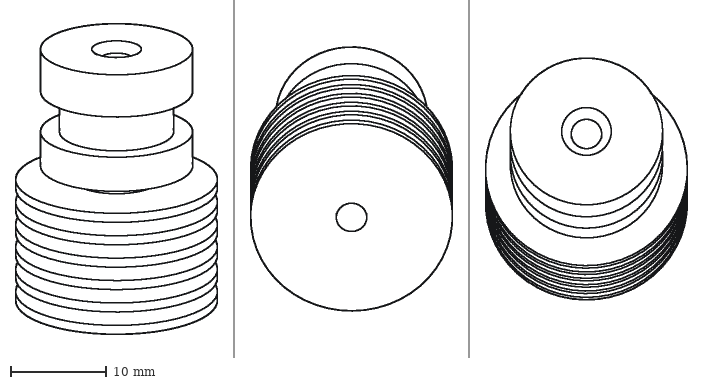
import cadquery as cq

total_height = 28.0
fin_count = 6
fin_diameter = 21.2
fin_thickness = 1.0
fin_stack_height = 13.5
fin_pitch = (fin_stack_height - fin_thickness) / (fin_count - 1)

stem_diameter = 9.0
collar_diameter = 16.0
neck_diameter = 12.0
stem_above_fins = 1.5
lower_collar_height = 3.8
upper_collar_height = 4.7
lower_collar_bottom = fin_stack_height + stem_above_fins
lower_collar_top = lower_collar_bottom + lower_collar_height
upper_collar_bottom = total_height - upper_collar_height

bore_diameter = 3.2
countersink_depth = 1.0
countersink_angle = 90


def disc(diameter, bottom, top):
    """Cylinder on the Z axis between two heights."""
    return cq.Workplane("XY").workplane(offset=bottom).circle(diameter / 2).extrude(top - bottom)


body = disc(stem_diameter, 0, lower_collar_bottom)
body = body.union(disc(collar_diameter, lower_collar_bottom, lower_collar_top))
body = body.union(disc(neck_diameter, lower_collar_top, upper_collar_bottom))
body = body.union(disc(collar_diameter, upper_collar_bottom, total_height))

for index in range(fin_count):
    fin_bottom = index * fin_pitch
    body = body.union(disc(fin_diameter, fin_bottom, fin_bottom + fin_thickness))

countersink_diameter = bore_diameter + 2 * countersink_depth
result = (
    body.faces(">Z")
    .workplane()
    .cskHole(bore_diameter, countersink_diameter, countersink_angle)
)